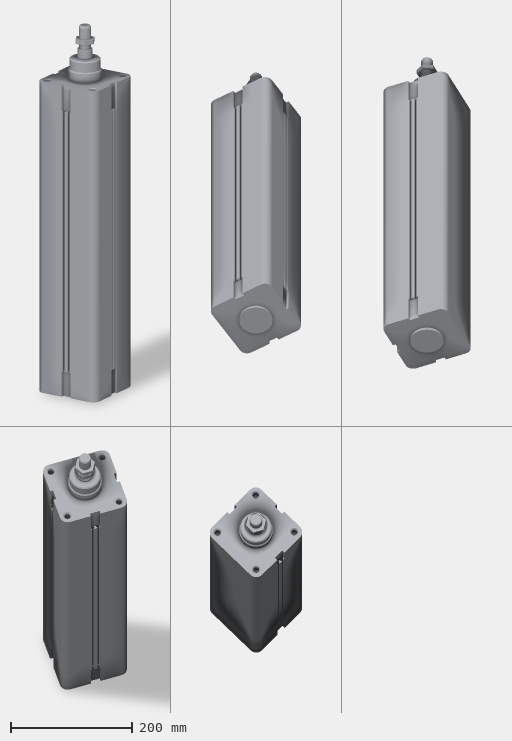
import cadquery as cq
import math

total_height = 633.0
side = 115.0
corner_radius = 13.0
cap_height = 43.5
rear_boss_height = 5.0
barrel_height = 449.5

rear_cap_base = rear_boss_height
barrel_base = rear_cap_base + cap_height
front_cap_base = barrel_base + barrel_height
front_cap_top = front_cap_base + cap_height

boss_diameter = 55.0
boss_height = 17.0
neck_diameter = 51.0
neck_height = 18.5
boss_chamfer = 2.0
neck_top = front_cap_top + boss_height + neck_height
collar_diameter = 26.0
collar_height = 4.5
collar_top = neck_top + collar_height

hole_pitch = 89.0
hole_mouth_diameter = 14.5
hole_diameter = 10.0
hole_depth = 22.0
mouth_depth = 2.0
drill_point_angle = 118.0

cap_groove_width = 17.0
cap_groove_depth = 5.0
slot_spacing = 9.5
slot_opening = 4.0
slot_width = 6.5
slot_depth = 7.5
lip_thickness = 2.0
groove_turns = (0, 90, -90)

rod_diameter = 25.0
thread_diameter = 20.0
relief_diameter = 18.5
rod_shoulder = 593.0
relief_height = 2.5
tip_chamfer_height = 2.5
tip_chamfer_width = 1.0
flat_width = 22.0
flat_clearance = 1.0
flat_base = collar_top + flat_clearance

nut_across_flats = 30.0
nut_height = 7.5
nut_base = 603.0


def square_bar(base, height):
    bar = cq.Workplane("XY").workplane(offset=base).rect(side, side).extrude(height)
    return bar.edges("|Z").fillet(corner_radius)


def cylinder(diameter, base, height):
    return cq.Workplane("XY").workplane(offset=base).circle(diameter / 2).extrude(height)


def face_strip(width, depth, base, height):
    """Block against the inside of the -Y face, centred on X."""
    strip = cq.Workplane("XY").workplane(offset=base)
    return strip.center(0, (depth - side) / 2).rect(width, depth).extrude(height)


def cut_grooved_faces(body, strip):
    """Cut a strip made for the -Y face into every grooved face."""
    for turn in groove_turns:
        body = body.cut(strip.rotate((0, 0, 0), (0, 0, 1), turn))
    return body


def corner_hole():
    """Blind hole going down from Z = 0, with a countersunk mouth and a drill point."""
    radius = hole_diameter / 2
    point_depth = radius / math.tan(math.radians(drill_point_angle / 2))
    return (
        cq.Workplane("XZ")
        .moveTo(0, 0)
        .lineTo(hole_mouth_diameter / 2, 0)
        .lineTo(radius, -mouth_depth)
        .lineTo(radius, -hole_depth)
        .lineTo(0, -hole_depth - point_depth)
        .close()
        .revolve(360, (0, 0, 0), (0, 1, 0))
    )


def end_cap(base):
    cap = square_bar(base, cap_height)
    groove = face_strip(cap_groove_width, cap_groove_depth, base, cap_height)
    return cut_grooved_faces(cap, groove)


def front_cap():
    """Cap with the stepped boss, the rod bore and the four corner holes."""
    cap = end_cap(front_cap_base)
    boss = cylinder(boss_diameter, front_cap_top, boss_height).faces(">Z").chamfer(boss_chamfer)
    neck_base = front_cap_top + boss_height - boss_chamfer
    neck = cylinder(neck_diameter, neck_base, neck_top - neck_base).faces(">Z").chamfer(boss_chamfer)
    collar = cylinder(collar_diameter, neck_top, collar_height)
    cap = cap.union(boss).union(neck).union(collar)
    for x in (-hole_pitch / 2, hole_pitch / 2):
        for y in (-hole_pitch / 2, hole_pitch / 2):
            cap = cap.cut(corner_hole().translate((x, y, front_cap_top)))
    return cap.cut(cylinder(rod_diameter, front_cap_base, collar_top - front_cap_base))


def rear_cap():
    return end_cap(rear_cap_base).union(cylinder(boss_diameter, 0, rear_boss_height))


def barrel():
    """Square barrel with a pair of T-slots on each grooved face."""
    body = square_bar(barrel_base, barrel_height)
    opening = face_strip(slot_opening, slot_depth, barrel_base, barrel_height)
    lips = face_strip(slot_width, lip_thickness, barrel_base, barrel_height)
    undercut = face_strip(slot_width, slot_depth, barrel_base, barrel_height).cut(lips)
    slot = opening.union(undercut)
    for x in (-slot_spacing / 2, slot_spacing / 2):
        body = cut_grooved_faces(body, slot.translate((x, 0, 0)))
    return body


def piston_rod():
    """Rod with two wrench flats facing -Y and +Y, a thread relief and a plain thread."""
    rod = cylinder(rod_diameter, front_cap_base, rod_shoulder - front_cap_base)
    flat_height = rod_shoulder - flat_base
    between_jaws = cq.Workplane("XY").workplane(offset=flat_base).rect(rod_diameter, flat_width)
    jaws = cylinder(rod_diameter, flat_base, flat_height).cut(between_jaws.extrude(flat_height))
    rod = rod.cut(jaws)
    rod = rod.union(cylinder(relief_diameter, rod_shoulder, relief_height))
    thread_base = rod_shoulder + relief_height
    thread = cylinder(thread_diameter, thread_base, total_height - thread_base)
    return rod.union(thread.faces(">Z").chamfer(tip_chamfer_height, tip_chamfer_width))


def lock_nut():
    across_corners = nut_across_flats / math.cos(math.radians(30))
    nut = cq.Workplane("XY").workplane(offset=nut_base).polygon(6, across_corners).extrude(nut_height)
    return nut.cut(cylinder(thread_diameter, nut_base, nut_height))


result = cq.Compound.makeCompound(
    [barrel().val(), front_cap().val(), rear_cap().val(), piston_rod().val(), lock_nut().val()]
)